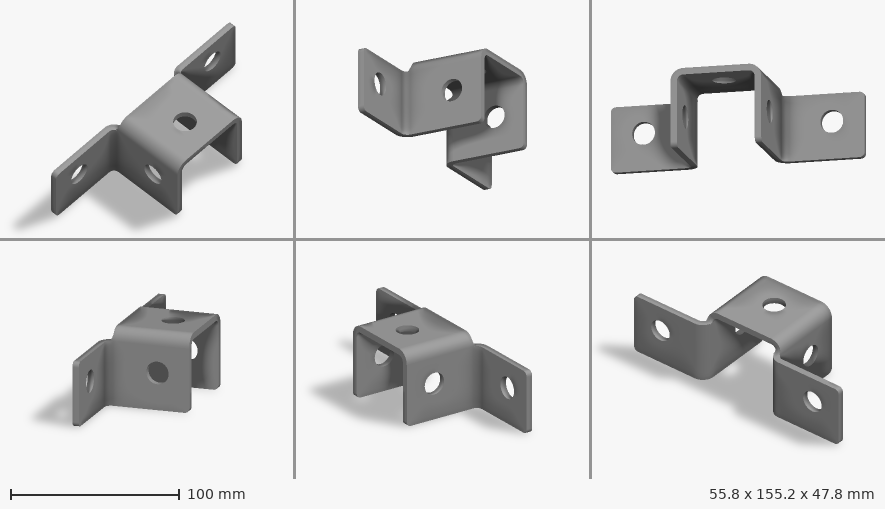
import cadquery as cq

thickness = 4.0
bend_inner = 3.8125
bend_outer = bend_inner + thickness

top_half_width = 20.0
side_length = 48.0
side_height = 40.0
flange_length = 46.0

hole_diameter = 14.0
hole_end_distance = 20.0
hole_height = 23.0
corner_radius = 3.0

web_reach = 2.7
web_rise_ratio = 0.7

length = bend_outer + side_length
height = side_height + bend_outer
channel_inner = top_half_width + bend_inner
channel_outer = top_half_width + bend_outer
flange_start = channel_inner + bend_outer
flange_end = flange_start + flange_length
hole_x = length - hole_end_distance
flange_hole_y = flange_end - hole_end_distance


def block(x_range, y_range, z_range):
    """Axis-aligned box from its limits."""
    (x0, x1), (y0, y1), (z0, z1) = x_range, y_range, z_range
    return cq.Workplane("XY").box(x1 - x0, y1 - y0, z1 - z0, centered=False).translate((x0, y0, z0))


def bend(plane, axis_place, axis_length, u_direction, v_direction):
    """Quarter ring about an axis normal to the plane, in the quadrant of the given directions."""
    ring = cq.Workplane(plane).circle(bend_outer).circle(bend_inner).extrude(axis_length)
    quadrant = (
        cq.Workplane(plane)
        .rect(u_direction * bend_outer, v_direction * bend_outer, centered=False)
        .extrude(axis_length)
    )
    return ring.intersect(quadrant).translate(axis_place)


def top_plate():
    plate = block((bend_outer, length), (-top_half_width, top_half_width), (height - thickness, height))
    hole = cq.Workplane("XY").center(hole_x, 0).circle(hole_diameter / 2).extrude(height)
    return plate.cut(hole)


def side_plate():
    plate = block((bend_outer, length), (channel_inner, channel_outer), (0, side_height))
    plate = plate.edges("|Y and >X and <Z").fillet(corner_radius)
    hole = (
        cq.Workplane("XZ")
        .center(hole_x, hole_height)
        .circle(hole_diameter / 2)
        .extrude(-channel_outer)
    )
    return plate.cut(hole)


def flange():
    plate = block((0, thickness), (flange_start, flange_end), (0, side_height))
    plate = plate.edges("|X and >Y").fillet(corner_radius)
    hole = (
        cq.Workplane("YZ")
        .center(flange_hole_y, hole_height)
        .circle(hole_diameter / 2)
        .extrude(thickness)
    )
    return plate.cut(hole)


def web_section(axis_distance):
    """Concave triangular section of the web at a distance from the top bend axis."""
    rise = axis_distance * web_rise_ratio
    return (
        cq.Workplane("XZ", origin=(bend_outer, top_half_width + axis_distance, side_height))
        .moveTo(-web_reach, 0)
        .ellipseArc(web_reach, rise, 270, 360)
        .lineTo(0, 0)
        .close()
        .val()
    )


def corner_web():
    """Stub of the top bend past its edge, faded out by a fillet that is radial to the bend axis."""
    wedge = cq.Solid.makeLoft([web_section(bend_inner / 2), web_section(bend_outer)], True)
    stub = bend("YZ", (bend_outer - web_reach, top_half_width, side_height), web_reach, 1, 1)
    return stub.intersect(cq.Workplane(wedge))


def half_wing():
    """Everything from the top plate edge outward on the +Y side."""
    top_bend = bend("YZ", (bend_outer, top_half_width, side_height), side_length, 1, 1)
    flange_bend = bend("XY", (bend_outer, flange_start, 0), side_height, -1, -1)
    return side_plate().union(top_bend).union(flange_bend).union(flange()).union(corner_web())


wing = half_wing()
result = top_plate().union(wing).union(wing.mirror("XZ"))